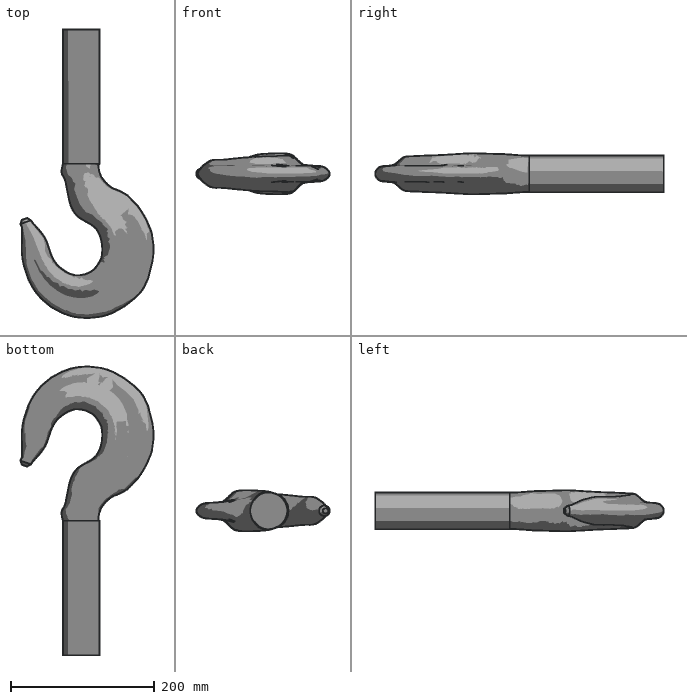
import cadquery as cq

shank_diameter = 51.5
shank_radius = shank_diameter / 2
shank_end_y = 310.0
shank_start_y = 122.0

rim_fraction = 0.1
rim_position = 1 - rim_fraction

diagonal = 0.5**0.5

hook_sections = [
    ((-25.0, 104.0), (28.2, 104.5), 0.50, 0.75, 26.2, 22.5, 15.7),
    ((-17.8, 74.3), (50.5, 85.5), 0.40, 0.70, 28.0, 17.8, 12.5),
    ((1.0, 44.5), (76.5, 66.0), 0.32, 0.60, 28.5, 15.7, 10.0),
    ((24.2, 26.5), (96.0, 32.5), 0.25, 0.51, 28.2, 13.7, 9.3),
    ((30.0, 2.0), (101.3, 2.0), 0.22, 0.46, 26.5, 13.7, 9.0),
    ((27.5, -12.0), (94.5, -35.5), 0.24, 0.48, 26.0, 13.5, 9.0),
    ((19.8, -24.0), (74.0, -66.5), 0.26, 0.52, 25.0, 13.0, 9.0),
    ((8.5, -31.0), (43.5, -86.5), 0.27, 0.55, 24.5, 12.5, 9.0),
    ((-5.0, -34.0), (4.5, -93.5), 0.29, 0.57, 24.0, 12.5, 9.3),
    ((-27.5, -24.5), (-55.5, -66.5), 0.33, 0.60, 21.0, 13.0, 9.3),
    ((-40.8, -8.0), (-78.3, -28.0), 0.38, 0.65, 19.8, 13.5, 7.5),
    ((-47.5, 12.0), (-83.5, 4.0), 0.46, 0.72, 18.5, 13.5, 7.0),
    ((-59.5, 30.3), (-82.5, 25.5), 0.48, 0.74, 11.7, 9.5, 6.5),
    ((-70.2, 43.0), (-85.0, 38.0), 0.50, 0.75, 7.3, 6.5, 4.5),
]
tip_dome = 5.0
tip_end_scale = 0.5


def section_wire(inner, outer, crest, web, crest_half, web_half, rim_half):
    """Closed section, symmetric about Z = 0, thick inside and thin outside."""
    across = cq.Vector(*outer) - cq.Vector(*inner)
    width = across.Length
    plane = cq.Plane(
        origin=(*inner, 0),
        xDir=across,
        normal=across.cross(cq.Vector(0, 0, 1)),
    )
    upper = [
        (crest * (1 - diagonal) * width, crest_half * diagonal),
        (crest * width, crest_half),
        (web * width, web_half),
        (rim_position * width, rim_half),
    ]
    lower = [(x, -z) for x, z in reversed(upper)]
    points = [(0, 0)] + upper + [(width, 0)] + lower
    return cq.Workplane(plane).spline(points, periodic=True).wire().val()


def tip_end_section():
    """The last hook section, shrunk about its middle and moved out along the tip."""
    inner, outer, crest, web, *halves = hook_sections[-1]
    inner_point = cq.Vector(*inner)
    outer_point = cq.Vector(*outer)
    across = outer_point - inner_point
    forward = cq.Vector(across.y, -across.x).normalized()
    middle = (inner_point + outer_point) / 2 + forward * tip_dome
    new_inner = middle - across * (tip_end_scale / 2)
    new_outer = middle + across * (tip_end_scale / 2)
    shrunk = [half * tip_end_scale for half in halves]
    return (new_inner.x, new_inner.y), (new_outer.x, new_outer.y), crest, web, *shrunk


def round_section(y):
    """Circular section of the shank, made like the hook sections."""
    def half_at(position):
        return shank_diameter * (position * (1 - position)) ** 0.5

    crest = 0.5
    web = 0.75
    halves = [half_at(position) for position in (crest, web, rim_position)]
    return (-shank_radius, y), (shank_radius, y), crest, web, *halves


def make_shank():
    return (
        cq.Workplane("XZ", origin=(0, shank_start_y, 0))
        .circle(shank_radius)
        .extrude(shank_start_y - shank_end_y)
    )


def make_hook():
    body_rows = [round_section(shank_start_y)] + hook_sections
    body = cq.Solid.makeLoft([section_wire(*row) for row in body_rows])
    tip_rows = [hook_sections[-1], tip_end_section()]
    tip = cq.Solid.makeLoft([section_wire(*row) for row in tip_rows], True)
    return cq.Workplane(body).union(cq.Workplane(tip))


result = make_shank().union(make_hook())